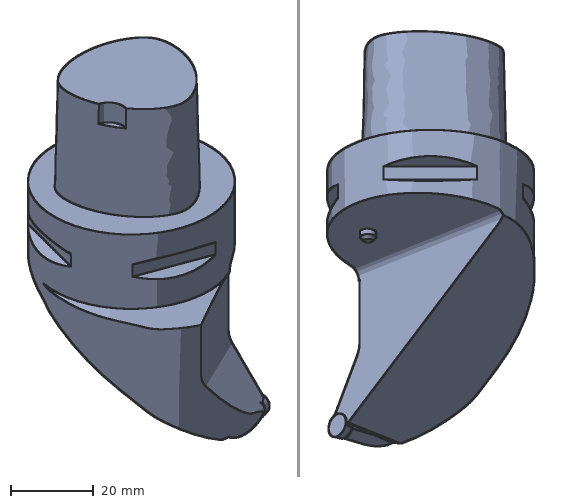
import cadquery as cq
import math

SHANK_HEIGHT = 30.0
SHANK_BASE_RADIUS = 17.55
SHANK_TAPER = 1 / 40
LOBE_SIZE = 1.3
LOBE_POINTS = 36
KEYWAY_RADIUS = 4.5
KEYWAY_DEPTH = 5.6
KEYWAY_INNER_Y = -13.8

FLANGE_RADIUS = 50.0 / 2
FLANGE_HEIGHT = 21.0
SLOT_FLOOR_DISTANCE = 22.3
SLOT_FLOOR_HEIGHT = 3.4
SLOT_CENTER_Z = -10.2
SLOT_WALL_ANGLE = 30

OVERALL_HEIGHT = 90.0
REACH = 35.0
BLADE_FRONT_Y = -28.6
BLADE_FACE_Y = -0.4
ROOF_SLOPE = 0.26
WALL_X = 24.75
NECK_ANGLE = 60
NECK_FILLET = 7.2
SCARP_START_Z = -19.35
SCARP_ANGLE = 35.3
NOSE_RADIUS = 2.6
NOSE_RELIEF_ANGLE = 4.5
SCARP_END_X = 28.6
BLADE_ROOT_Z = -16.2
CLEARANCE_EDGE_Z = -16.0
CLEARANCE_ANGLE = 5
CLEARANCE_FILLET = 3.0

NOZZLE_DIAMETER = 4.0
NOZZLE_CHAMFER = 0.9
NOZZLE_X = 9.0
NOZZLE_Y = 12.3
NOZZLE_TIP_Z = -19.35

INSERT_RADIUS = 3.0
INSERT_THICKNESS = 2.6
INSERT_RELIEF_ANGLE = 7

MARGIN = 9.0
TIP_Z = SHANK_HEIGHT - OVERALL_HEIGHT
INSERT_X = REACH - INSERT_RADIUS
INSERT_Z = TIP_Z + INSERT_RADIUS
SCARP_SLOPE = math.tan(math.radians(SCARP_ANGLE))


def lobed_outline(radius, z):
    """Closed three-lobed curve; changing the radius offsets it evenly."""
    points = []
    for step in range(LOBE_POINTS):
        angle = 2 * math.pi * step / LOBE_POINTS
        reach = radius - LOBE_SIZE * math.sin(3 * angle)
        slide = -3 * LOBE_SIZE * math.cos(3 * angle)
        x = reach * math.cos(angle) - slide * math.sin(angle)
        y = reach * math.sin(angle) + slide * math.cos(angle)
        points.append(cq.Vector(x, y, z))
    return cq.Wire.assembleEdges([cq.Edge.makeSpline(points, periodic=True)])


def make_shank():
    top_radius = SHANK_BASE_RADIUS - SHANK_TAPER * SHANK_HEIGHT
    outlines = [lobed_outline(SHANK_BASE_RADIUS, 0), lobed_outline(top_radius, SHANK_HEIGHT)]
    shank = cq.Workplane(obj=cq.Solid.makeLoft(outlines, True))
    keyway = (
        cq.Workplane("XY", origin=(0, KEYWAY_INNER_Y - KEYWAY_RADIUS, SHANK_HEIGHT - KEYWAY_DEPTH))
        .circle(KEYWAY_RADIUS)
        .extrude(KEYWAY_DEPTH)
    )
    return shank.cut(keyway)


def gripper_slot(angle):
    """Trapezoidal cutter that opens outward through the flange side."""
    depth = FLANGE_RADIUS - SLOT_FLOOR_DISTANCE + 0.9
    half_floor = SLOT_FLOOR_HEIGHT / 2
    half_mouth = half_floor + depth * math.tan(math.radians(SLOT_WALL_ANGLE))
    outer = SLOT_FLOOR_DISTANCE + depth
    return (
        cq.Workplane("XZ", origin=(0, 0, SLOT_CENTER_Z))
        .moveTo(SLOT_FLOOR_DISTANCE, -half_floor)
        .lineTo(outer, -half_mouth)
        .lineTo(outer, half_mouth)
        .lineTo(SLOT_FLOOR_DISTANCE, half_floor)
        .close()
        .extrude(FLANGE_RADIUS, both=True)
        .rotate((0, 0, 0), (0, 0, 1), angle)
    )


def scarp_z(x):
    """Height of the slanted back plane at a given x."""
    return SCARP_START_Z - (x + FLANGE_RADIUS) * SCARP_SLOPE


def scarp_cutter():
    """Everything below the slanted back plane."""
    x_start = -FLANGE_RADIUS - MARGIN
    x_end = REACH + MARGIN
    return (
        cq.Workplane("XZ")
        .polyline([(x_start, scarp_z(x_start)), (x_end, scarp_z(x_end)), (x_start, scarp_z(x_end))])
        .close()
        .extrude(FLANGE_RADIUS + MARGIN, both=True)
    )


def make_flange():
    flange = cq.Workplane("XY").circle(FLANGE_RADIUS).extrude(-FLANGE_HEIGHT)
    for angle in (45, 135, 225, 315):
        flange = flange.cut(gripper_slot(angle))
    return flange.cut(scarp_cutter())


def blade_plan():
    """Vertical prism with the blade outline seen along the axis."""
    back_y = 3.6
    back_x = -math.sqrt(FLANGE_RADIUS**2 - back_y**2)
    leave_x = -16.3
    leave_y = -math.sqrt(FLANGE_RADIUS**2 - leave_x**2)
    return (
        cq.Workplane("XY", origin=(0, 0, TIP_Z))
        .moveTo(back_x, back_y)
        .threePointArc((-FLANGE_RADIUS, 0), (leave_x, leave_y))
        .lineTo(-14.4, -21.1)
        .threePointArc((-2.4, -27.45), (6.0, BLADE_FRONT_Y))
        .lineTo(12.0, BLADE_FRONT_Y)
        .threePointArc((14.7, -28.35), (17.2, -27.45))
        .threePointArc((28.4, -18.6), (REACH - 0.2, -2.7))
        .lineTo(REACH, back_y)
        .close()
        .extrude(BLADE_ROOT_Z - TIP_Z)
    )


def blade_roof():
    """Solid of revolution whose top is the shallow cone around the flange."""
    rim = REACH + MARGIN
    rim_z = -FLANGE_HEIGHT - ROOF_SLOPE * (rim - FLANGE_RADIUS)
    return (
        cq.Workplane("XZ")
        .polyline([
            (0, BLADE_ROOT_Z),
            (FLANGE_RADIUS, BLADE_ROOT_Z),
            (FLANGE_RADIUS, -FLANGE_HEIGHT),
            (rim, rim_z),
            (rim, TIP_Z),
            (0, TIP_Z),
        ])
        .close()
        .revolve(360, (0, 0, 0), (0, 1, 0))
    )


def blade_side():
    """Prism along Y between the slanted back and the necked outer wall, ending at the nose."""
    neck = math.radians(NECK_ANGLE)
    flank_x = INSERT_X + NOSE_RADIUS * math.sin(neck)
    flank_z = INSERT_Z + NOSE_RADIUS * math.cos(neck)
    corner_z = flank_z + (flank_x - WALL_X) * math.tan(neck)
    tangent = NECK_FILLET * math.tan((math.pi / 2 - neck) / 2)
    fillet_end = (WALL_X + tangent * math.cos(neck), corner_z - tangent * math.sin(neck))
    return (
        cq.Workplane("XZ")
        .moveTo(-FLANGE_RADIUS, BLADE_ROOT_Z)
        .lineTo(WALL_X, BLADE_ROOT_Z)
        .lineTo(WALL_X, corner_z + tangent)
        .tangentArcPoint(fillet_end, relative=False)
        .lineTo(flank_x, flank_z)
        .lineTo(INSERT_X, INSERT_Z)
        .lineTo(SCARP_END_X, scarp_z(SCARP_END_X))
        .lineTo(-FLANGE_RADIUS, SCARP_START_Z)
        .close()
        .extrude(FLANGE_RADIUS + MARGIN, both=True)
    )


def blade_nose():
    """Round nose that rises away from the cutting face to give relief."""
    length = BLADE_FACE_Y - BLADE_FRONT_Y
    rise = length * math.tan(math.radians(NOSE_RELIEF_ANGLE))
    direction = cq.Vector(0, -length, rise)
    center = cq.Vector(INSERT_X, BLADE_FACE_Y, INSERT_Z)
    circle = cq.Wire.makeCircle(NOSE_RADIUS, center, cq.Vector(0, -1, 0))

    drop = (INSERT_Z - scarp_z(INSERT_X)) * math.cos(math.radians(SCARP_ANGLE))
    foot_x = INSERT_X - drop * math.sin(math.radians(SCARP_ANGLE))
    foot = cq.Vector(foot_x, BLADE_FACE_Y, scarp_z(foot_x))
    edge = cq.Vector(SCARP_END_X, BLADE_FACE_Y, scarp_z(SCARP_END_X))
    triangle = cq.Wire.makePolygon([center, edge, foot], close=True)

    nose = cq.Workplane(obj=cq.Solid.extrudeLinear(circle, [], direction))
    web = cq.Workplane(obj=cq.Solid.extrudeLinear(triangle, [], direction))
    return nose.union(web)


def make_blade():
    return blade_side().union(blade_nose()).intersect(blade_plan()).intersect(blade_roof())


def clearance_cutter():
    """Open space on the +Y side: sloped flange underside, filleted into the blade face."""
    slope = math.tan(math.radians(CLEARANCE_ANGLE))
    outer_y = FLANGE_RADIUS + MARGIN
    outer_z = CLEARANCE_EDGE_Z + MARGIN * slope
    corner_z = outer_z - (outer_y - BLADE_FACE_Y) * slope
    bottom_z = TIP_Z - MARGIN
    return (
        cq.Workplane("YZ")
        .polyline([
            (BLADE_FACE_Y, corner_z),
            (outer_y, outer_z),
            (outer_y, bottom_z),
            (BLADE_FACE_Y, bottom_z),
        ])
        .close()
        .extrude(REACH + MARGIN, both=True)
        .edges("|X")
        .edges(cq.selectors.NearestToPointSelector((0, BLADE_FACE_Y, corner_z)))
        .fillet(CLEARANCE_FILLET)
    )


def make_nozzle():
    return (
        cq.Workplane("XY", origin=(NOZZLE_X, NOZZLE_Y, NOZZLE_TIP_Z))
        .circle(NOZZLE_DIAMETER / 2)
        .extrude(BLADE_ROOT_Z - NOZZLE_TIP_Z + 0.9)
        .faces("<Z")
        .chamfer(NOZZLE_CHAMFER)
    )


def make_insert():
    """Round cutting insert with its cutting face at Y = 0, tapering toward -Y."""
    return (
        cq.Workplane("XZ", origin=(INSERT_X, 0, INSERT_Z))
        .circle(INSERT_RADIUS)
        .extrude(INSERT_THICKNESS, taper=INSERT_RELIEF_ANGLE)
    )


def make_holder(insert):
    lower = make_flange().union(make_blade()).cut(clearance_cutter())
    return lower.union(make_shank()).union(make_nozzle()).cut(insert)


insert = make_insert()
holder = make_holder(insert)
result = cq.Compound.makeCompound([holder.solids().val(), insert.val()])